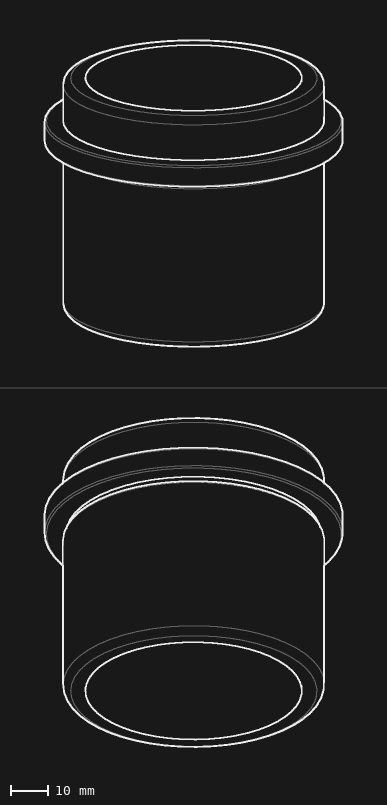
import cadquery as cq

flange_diameter = 80.0
body_diameter = 70.0
bore_diameter = 58.0
height = 65.0
end_rounding = 2.0

flange_thickness = 6.0
flange_setback = 12.0
flange_edge_rounding = 0.5
groove_width = 1.5
groove_diameter = 68.4
groove_lip_rounding = 0.5

flange_top = height - flange_setback
flange_bottom = flange_top - flange_thickness
groove_bottom = flange_bottom - groove_width


def disc(diameter, bottom, top):
    """Solid cylinder on the Z axis between two heights."""
    return cq.Workplane("XY").workplane(offset=bottom).circle(diameter / 2).extrude(top - bottom)


barrel = disc(body_diameter, 0, groove_bottom)
barrel = barrel.faces("<Z").edges().fillet(end_rounding)
barrel = barrel.faces(">Z").edges().fillet(groove_lip_rounding)

groove_core = disc(groove_diameter, groove_bottom, flange_bottom)

flange = disc(flange_diameter, flange_bottom, flange_top).edges().fillet(flange_edge_rounding)

collar = disc(body_diameter, flange_top, height).faces(">Z").edges().fillet(end_rounding)

bore = disc(bore_diameter, 0, height)

result = barrel.union(groove_core).union(flange).union(collar).cut(bore)